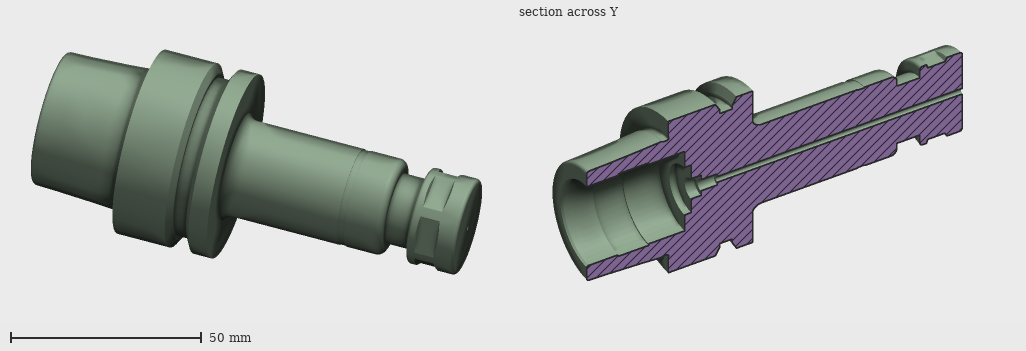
import cadquery as cq
import math


taper_length = 25.0
taper_ratio = 1 / 9.98
gauge_diameter = 38.0
gauge_to_flange = 5.0
taper_end_x = 22.8
taper_tip_fillet = 1.0

relief_radius = 18.9
relief_step_length = 0.7
relief_arc_radius = 0.45
relief_arc_start_x = 24.65
relief_outer_radius = 20.3

flange_radius = 25.0
flange_width = 26.0
groove_start_x = 40.85
groove_width = 3.7
groove_radius = 21.5
groove_flank_base_radius = 22.6
groove_flank_angle = 30.0

shank_radius = 13.0
shank_end_x = 95.0
shank_root_radius = 3.0
shank_root_height = 1.5
shank_end_fillet = 2.0
band_start_x = 83.0
band_width = 2.0
band_depth = 0.2

neck_radius = 9.5
nut_start_x = 101.9
nut_radius = 13.0
nut_fillet = 1.0
total_length = 115.0

flat_count = 6
flat_apothem = 11.85
flat_start_x = 104.4
flat_end_x = 109.6
flat_rear_draft = 18.0
flat_front_draft = 28.0
flat_cutter_clearance = 1.0

bore_radius = 13.0
bore_mouth_radius = 13.3
bore_mouth_depth = 0.7
bore_relief_radius = 13.5
bore_relief_start_x = 9.8
bore_relief_end_x = 19.0
bore_steps = [
    (bore_radius, 30.0),
    (15.5 / 2, 32.0),
    (6.5 / 2, 35.0),
    (3.5 / 2, 40.0),
    (1.7 / 2, total_length),
]


def taper_radius(x):
    """Radius of the taper cone at station x."""
    gauge_x = taper_length - gauge_to_flange
    return gauge_diameter / 2 + (x - gauge_x) * taper_ratio / 2


def flank_length(base_radius):
    """Axial length of a groove flank that rises from base_radius to the flange rim."""
    return (flange_radius - base_radius) * math.tan(math.radians(groove_flank_angle))


def fillet_middle(size):
    """Distance from the corner to the mid point of a quarter round, along each leg."""
    return size * (1 - math.sqrt(0.5))


def turned_body():
    """Solid of revolution holding every outer diameter."""
    flange_end_x = taper_length + flange_width
    groove_end_x = groove_start_x + groove_width
    flank = flank_length(groove_flank_base_radius)

    arc_center_r = relief_radius + relief_arc_radius
    arc_end_x = relief_arc_start_x + relief_arc_radius
    arc_middle = fillet_middle(relief_arc_radius)

    root_angle = math.acos(1 - shank_root_height / shank_root_radius)
    root_end_x = flange_end_x + shank_root_radius * math.sin(root_angle)
    root_middle = (
        root_end_x - shank_root_radius * math.sin(root_angle / 2),
        shank_radius + shank_root_radius * (1 - math.cos(root_angle / 2)),
    )

    tip_radius = taper_radius(taper_tip_fillet)
    tip_middle = fillet_middle(taper_tip_fillet)
    shank_middle = fillet_middle(shank_end_fillet)
    nut_middle = fillet_middle(nut_fillet)
    band_end_x = band_start_x + band_width

    profile = (
        cq.Workplane("XY")
        .moveTo(0, 0)
        .lineTo(0, tip_radius - taper_tip_fillet)
        .threePointArc((tip_middle, tip_radius - tip_middle), (taper_tip_fillet, tip_radius))
        .lineTo(taper_end_x, taper_radius(taper_end_x))
        .lineTo(taper_end_x + relief_step_length, relief_radius)
        .lineTo(relief_arc_start_x, relief_radius)
        .threePointArc((arc_end_x - arc_middle, relief_radius + arc_middle), (arc_end_x, arc_center_r))
        .lineTo(taper_length, relief_outer_radius)
        .lineTo(taper_length, flange_radius)
        .lineTo(groove_start_x - flank, flange_radius)
        .lineTo(groove_start_x, groove_flank_base_radius)
        .lineTo(groove_start_x, groove_radius)
        .lineTo(groove_end_x, groove_radius)
        .lineTo(groove_end_x, groove_flank_base_radius)
        .lineTo(groove_end_x + flank, flange_radius)
        .lineTo(flange_end_x, flange_radius)
        .lineTo(flange_end_x, shank_radius + shank_root_height)
        .threePointArc(root_middle, (root_end_x, shank_radius))
        .lineTo(band_start_x, shank_radius)
        .lineTo(band_start_x, shank_radius - band_depth)
        .lineTo(band_end_x, shank_radius - band_depth)
        .lineTo(band_end_x, shank_radius)
        .lineTo(shank_end_x - shank_end_fillet, shank_radius)
        .threePointArc(
            (shank_end_x - shank_middle, shank_radius - shank_middle),
            (shank_end_x, shank_radius - shank_end_fillet),
        )
        .lineTo(shank_end_x, neck_radius)
        .lineTo(nut_start_x, neck_radius)
        .lineTo(nut_start_x, nut_radius - nut_fillet)
        .threePointArc(
            (nut_start_x + nut_middle, nut_radius - nut_middle),
            (nut_start_x + nut_fillet, nut_radius),
        )
        .lineTo(total_length - nut_fillet, nut_radius)
        .threePointArc(
            (total_length - nut_middle, nut_radius - nut_middle),
            (total_length, nut_radius - nut_fillet),
        )
        .lineTo(total_length, 0)
        .close()
    )
    return profile.revolve(360, (0, 0, 0), (1, 0, 0))


def stepped_bore():
    """Bore with a chamfered mouth and a relief, narrowing in steps to a through hole."""
    mouth = (
        cq.Workplane("XY")
        .polyline([(0, 0), (0, bore_mouth_radius), (bore_mouth_depth, bore_radius), (bore_mouth_depth, 0)])
        .close()
        .revolve(360, (0, 0, 0), (1, 0, 0))
    )
    relief = (
        cq.Workplane("YZ", origin=(bore_relief_start_x, 0, 0))
        .circle(bore_relief_radius)
        .extrude(bore_relief_end_x - bore_relief_start_x)
    )
    bore = mouth.union(relief)
    for radius, depth in bore_steps:
        bore = bore.union(cq.Workplane("YZ").circle(radius).extrude(depth))
    return bore


def wrench_flat():
    """Cutter for the flat facing +Z, with drafted end walls."""
    height = nut_radius - flat_apothem + flat_cutter_clearance
    rear_spread = height * math.tan(math.radians(flat_rear_draft))
    front_spread = height * math.tan(math.radians(flat_front_draft))
    outline = [
        (flat_start_x, flat_apothem),
        (flat_end_x, flat_apothem),
        (flat_end_x + front_spread, flat_apothem + height),
        (flat_start_x - rear_spread, flat_apothem + height),
    ]
    return cq.Workplane("XZ").polyline(outline).close().extrude(nut_radius, both=True)


result = turned_body().cut(stepped_bore())
for index in range(flat_count):
    angle = index * 360 / flat_count
    result = result.cut(wrench_flat().rotate((0, 0, 0), (1, 0, 0), angle))